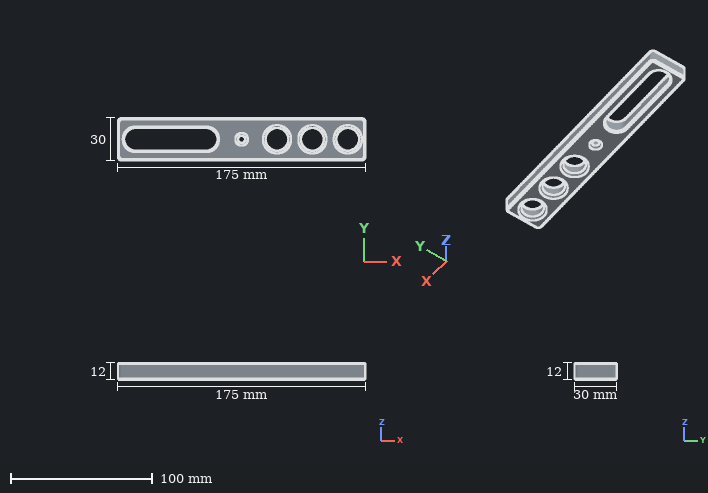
import cadquery as cq

length = 175.0
width = 30.0
thickness = 12.0
corner_radius = 3.0
rim_chamfer = 1.0

slot_width = 16.0
slot_end_x = (-75.0, -25.0)
slot_chamfer = 1.0

large_hole_diameter = 16.0
large_hole_chamfer = 2.0
large_hole_count = 3
large_hole_pitch = 25.0

small_hole_diameter = 5.0
small_hole_chamfer = 2.0

chamfer_angle = 45.0
top_z = thickness / 2


def make_plate():
    """Plate centred on the origin, with round corners and chamfered rims."""
    plate = cq.Workplane("XY").box(length, width, thickness)
    plate = plate.edges("|Z").fillet(corner_radius)
    return plate.faces("<Z or >Z").edges().chamfer(rim_chamfer)


def make_slot_cutter():
    """Through slot, chamfered at the top and bottom faces."""
    start_x, end_x = slot_end_x
    middle_x = (start_x + end_x) / 2
    overall_length = end_x - start_x + slot_width
    through_slot = (
        cq.Workplane("XY")
        .center(middle_x, 0)
        .slot2D(overall_length, slot_width)
        .extrude(thickness, both=True)
    )
    flare = (
        cq.Workplane("XY", origin=(middle_x, 0, top_z))
        .slot2D(overall_length + 2 * slot_chamfer, slot_width + 2 * slot_chamfer)
        .extrude(-slot_chamfer, taper=chamfer_angle)
    )
    return through_slot.union(flare).union(flare.mirror("XY"))


def make_hole_cutter(x, diameter, chamfer):
    """Through hole on the plate centreline, with a 45 degree chamfer at both faces."""
    radius = diameter / 2
    profile = [
        (0, -top_z),
        (radius + chamfer, -top_z),
        (radius, -top_z + chamfer),
        (radius, top_z - chamfer),
        (radius + chamfer, top_z),
        (0, top_z),
    ]
    cutter = cq.Workplane("XZ").polyline(profile).close().revolve(360, (0, 0), (0, 1))
    return cutter.translate((x, 0, 0))


result = make_plate().cut(make_slot_cutter())
result = result.cut(make_hole_cutter(0, small_hole_diameter, small_hole_chamfer))
for index in range(large_hole_count):
    hole_x = (index + 1) * large_hole_pitch
    result = result.cut(make_hole_cutter(hole_x, large_hole_diameter, large_hole_chamfer))